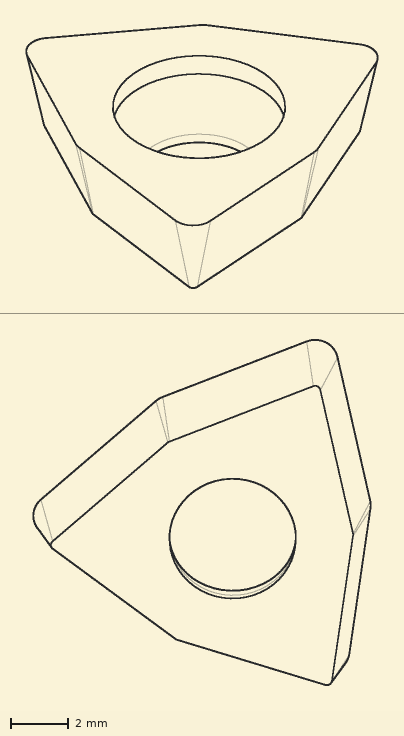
import cadquery as cq
import math

thickness = 3.18
inscribed_radius = 4.76
corner_radius = 0.8
clearance_angle = 11
nose_angle = 80
lobe_count = 3
first_side_normal = -90

mouth_radius = 3.0
mouth_depth = 0.79
bore_radius = 2.2
bore_length = 0.38


def side_intersection(normal_a, normal_b):
    """Point where two sides of the inscribed circle meet, from their normal angles."""
    bisector = math.radians((normal_a + normal_b) / 2)
    half_turn = math.radians((normal_b - normal_a) / 2)
    distance = inscribed_radius / math.cos(half_turn)
    return (distance * math.cos(bisector), distance * math.sin(bisector))


def make_body():
    """Rounded trigon, narrowing downward from the top face."""
    pitch = 360 / lobe_count
    nose_turn = 180 - nose_angle
    corners = []
    for lobe in range(lobe_count):
        normal_before_nose = first_side_normal - nose_turn + lobe * pitch
        normal_after_nose = normal_before_nose + nose_turn
        next_normal = normal_before_nose + pitch
        corners.append(side_intersection(normal_before_nose, normal_after_nose))
        corners.append(side_intersection(normal_after_nose, next_normal))
    blank = cq.Workplane("XY").polyline(corners).close().extrude(thickness)
    outline = blank.edges("|Z").fillet(corner_radius).faces("<Z").wires().val()
    return (
        cq.Workplane("XY", origin=(0, 0, thickness))
        .add(outline.translate(cq.Vector(0, 0, thickness)))
        .toPending()
        .extrude(-thickness, taper=clearance_angle)
    )


def make_hole():
    """Revolved cutter whose convex seat runs tangent into the bore."""
    seat_top = thickness - mouth_depth
    seat_height = seat_top - bore_length
    seat_width = mouth_radius - bore_radius
    seat_arc_radius = (seat_width**2 + seat_height**2) / (2 * seat_width)
    half_sweep = math.asin(seat_height / seat_arc_radius) / 2
    seat_middle = (
        bore_radius + seat_arc_radius * (1 - math.cos(half_sweep)),
        bore_length + seat_arc_radius * math.sin(half_sweep),
    )
    return (
        cq.Workplane("XZ")
        .lineTo(bore_radius, 0)
        .lineTo(bore_radius, bore_length)
        .threePointArc(seat_middle, (mouth_radius, seat_top))
        .lineTo(mouth_radius, thickness)
        .lineTo(0, thickness)
        .close()
        .revolve(360, (0, 0), (0, 1))
    )


result = make_body().cut(make_hole())